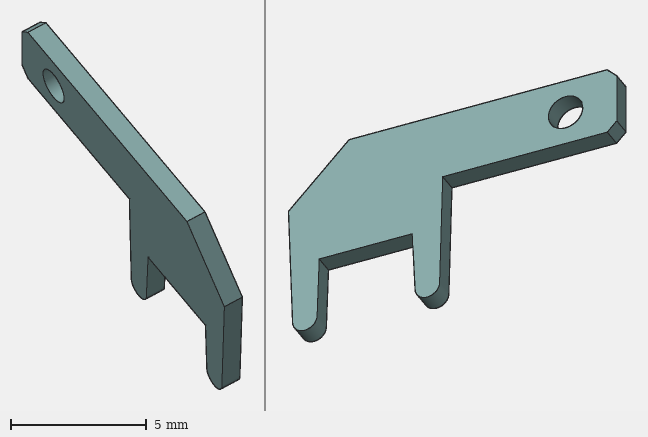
import cadquery as cq

length = 13.4
thickness = 0.8
height = 8.0

tab_width = 2.8
tab_chamfer = 0.39
hole_diameter = 1.4
hole_from_end = 2.09

body_left = 7.1
corner_chamfer = 2.48
crotch_z = 3.02

pin_pitch = 5.0
pin_tip_width = 1.0
pin_tip_height = 0.48
right_pin_x = 12.73
left_pin_x = right_pin_x - pin_pitch
slot_left = 8.35
slot_right = 12.14

tab_bottom = height - tab_width
tip_half = pin_tip_width / 2


def add_pin_tip(outline, pin_x):
    """Draw down to a pin's tip, round it left to right and stop at its right flank."""
    return (
        outline.lineTo(pin_x - tip_half, pin_tip_height)
        .threePointArc((pin_x, 0), (pin_x + tip_half, pin_tip_height))
    )


outline = (
    cq.Workplane("XZ")
    .moveTo(tab_chamfer, height)
    .lineTo(0, height - tab_chamfer)
    .lineTo(0, tab_bottom + tab_chamfer)
    .lineTo(tab_chamfer, tab_bottom)
    .lineTo(body_left, tab_bottom)
)
outline = add_pin_tip(outline, left_pin_x)
outline = outline.lineTo(slot_left, crotch_z).lineTo(slot_right, crotch_z)
outline = add_pin_tip(outline, right_pin_x)
outline = (
    outline.lineTo(length, height - corner_chamfer)
    .lineTo(length - corner_chamfer, height)
    .close()
)
plate = outline.extrude(-thickness)

hole = (
    cq.Workplane("XZ")
    .center(hole_from_end, tab_bottom + tab_width / 2)
    .circle(hole_diameter / 2)
    .extrude(-thickness)
)

result = plate.cut(hole)